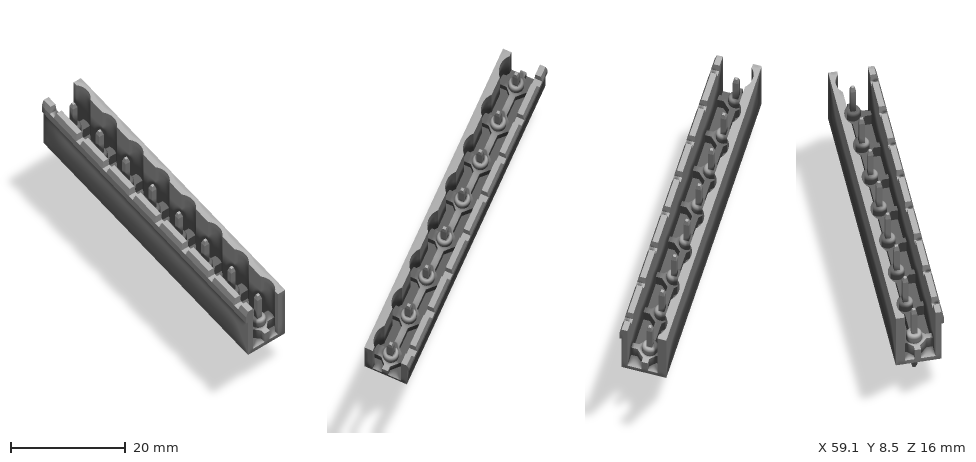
import cadquery as cq

pin_count = 8
pin_pitch = 7.6
length = 59.15
first_pin_x = (length - (pin_count - 1) * pin_pitch) / 2
pin_positions = [first_pin_x + index * pin_pitch for index in range(pin_count)]

height = 12.0
floor_thickness = 0.9
back_y = 3.8
back_wall = 1.6
back_inner_y = back_y - back_wall
front_y = -4.3
front_wall = 1.05
front_inner_y = front_y + front_wall

lip_projection = 0.4
lip_height = 2.95
lip_chamfer_height = 1.3

notch_bottom_width = 1.1
notch_top_width = 1.8

hollow_radius = 3.0

platform_top = 3.2
rail_back_y = 0.4
rail_front_y = -0.7
pad_half_width = 1.95
back_rib_half_width = 0.95
front_rib_half_width = 0.55

boss_diameter = 2.8
boss_top = 4.8
boss_rounding = 0.5

pin_width = 1.0
pin_tip_width = 0.55
pin_tip_length = 0.9
pin_bottom = -4.0
pin_top = 10.65


def make_channel():
    """U-shaped channel with a chamfered lip, extruded along the row."""
    lip_y = front_y - lip_projection
    outline = [
        (back_y, 0),
        (back_y, height),
        (back_inner_y, height),
        (back_inner_y, floor_thickness),
        (front_inner_y, floor_thickness),
        (front_inner_y, height),
        (front_y, height),
        (lip_y, height - lip_chamfer_height),
        (lip_y, height - lip_height),
        (front_y, height - lip_height),
        (front_y, 0),
    ]
    return cq.Workplane("YZ").polyline(outline).close().extrude(length)


def make_hollow(x):
    """Cylindrical cutter that scoops the back wall behind a pin."""
    cylinder = (
        cq.Workplane("XY", origin=(x, 0, floor_thickness))
        .circle(hollow_radius)
        .extrude(height - floor_thickness)
    )
    back_half = cq.Workplane("XY").box(length, back_y, height, centered=False)
    return cylinder.intersect(back_half)


def make_notch(x):
    """Cutter for the notch in the top of the front wall, narrower at its bottom."""
    outline = [
        (x - notch_bottom_width / 2, height - lip_chamfer_height),
        (x + notch_bottom_width / 2, height - lip_chamfer_height),
        (x + notch_top_width / 2, height),
        (x - notch_top_width / 2, height),
    ]
    notch_depth = front_wall + lip_projection
    return cq.Workplane("XZ", origin=(0, front_inner_y, 0)).polyline(outline).close().extrude(notch_depth)


def make_rail():
    """Raised rail along the whole floor."""
    rail_width = rail_back_y - rail_front_y
    rail = cq.Workplane("XY").box(length, rail_width, platform_top, centered=False)
    return rail.translate((0, rail_front_y, 0))


def make_pad(x):
    """Raised pad under a pin, its 45-degree flanks running into ribs to both walls."""
    back_shoulder_y = rail_back_y + pad_half_width - back_rib_half_width
    front_shoulder_y = rail_front_y - pad_half_width + front_rib_half_width
    right_side = [
        (front_rib_half_width, front_inner_y),
        (front_rib_half_width, front_shoulder_y),
        (pad_half_width, rail_front_y),
        (pad_half_width, rail_back_y),
        (back_rib_half_width, back_shoulder_y),
        (back_rib_half_width, hollow_radius),
    ]
    left_side = [(-offset, y) for offset, y in reversed(right_side)]
    pad_outline = cq.Workplane("XY", origin=(x, 0, 0)).polyline(right_side + left_side).close()
    return pad_outline.extrude(platform_top)


def make_boss(x):
    """Round boss with a rounded top edge."""
    return (
        cq.Workplane("XY", origin=(x, 0, floor_thickness))
        .circle(boss_diameter / 2)
        .extrude(boss_top - floor_thickness)
        .faces(">Z")
        .edges()
        .fillet(boss_rounding)
    )


def make_pin_hole(x):
    """Square cutter for the passage of a pin."""
    return cq.Workplane("XY", origin=(x, 0, 0)).rect(pin_width, pin_width).extrude(boss_top)


def make_housing():
    """One housing carrying every pin position."""
    housing = make_channel()
    for x in pin_positions:
        housing = housing.cut(make_hollow(x)).cut(make_notch(x))
    housing = housing.union(make_rail())
    for x in pin_positions:
        housing = housing.union(make_pad(x)).union(make_boss(x)).cut(make_pin_hole(x))
    return housing


def make_pin(x):
    """Square pin with a tapered tip at each end."""
    shank_bottom = pin_bottom + pin_tip_length
    shank_top = pin_top - pin_tip_length
    shank = (
        cq.Workplane("XY", origin=(x, 0, shank_bottom))
        .rect(pin_width, pin_width)
        .extrude(shank_top - shank_bottom)
    )
    upper_tip = (
        cq.Workplane("XY", origin=(x, 0, shank_top))
        .rect(pin_width, pin_width)
        .workplane(offset=pin_tip_length)
        .rect(pin_tip_width, pin_tip_width)
        .loft()
    )
    lower_tip = (
        cq.Workplane("XY", origin=(x, 0, pin_bottom))
        .rect(pin_tip_width, pin_tip_width)
        .workplane(offset=pin_tip_length)
        .rect(pin_width, pin_width)
        .loft()
    )
    return shank.union(upper_tip).union(lower_tip)


housing = make_housing()
pins = [make_pin(x) for x in pin_positions]

result = cq.Compound.makeCompound([housing.val(), *[pin.val() for pin in pins]])